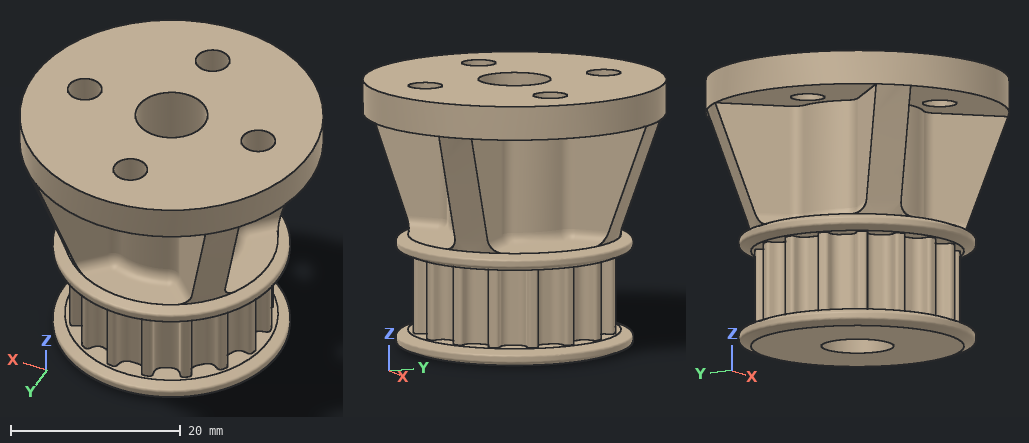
import cadquery as cq
import math

total_height = 31.95
disc_thickness = 4.0
flange_thickness = 2.0
belt_width = 9.4
upper_flange_z = flange_thickness + belt_width
neck_z = upper_flange_z + flange_thickness
disc_z = total_height - disc_thickness
neck_height = disc_z - neck_z

disc_radius = 35.73 / 2
bore_diameter = 8.5
hole_diameter = 4.0
hole_circle_radius = 11.3
hole_count = 4

flange_radius = 27.95 / 2
flange_bevel_width = 1.43
flange_bevel_height = 0.5
flange_edge_fillet = 0.4
flange_face_radius = flange_radius - flange_bevel_width

tooth_count = 16
tip_radius = 12.08
groove_floor_radius = 10.22
groove_floor_half_width = 0.45
groove_corner_radius = 1.07
flank_angle = math.radians(12)
tooth_tip_fillet = 0.43

core_radius = 7.85
rib_count = 4
rib_width = 4.18
neck_fillet = 1.6


def cylinder(radius, bottom_z, height):
    return cq.Workplane("XY").workplane(offset=bottom_z).circle(radius).extrude(height)


def polar_vector(radius, angle):
    return cq.Vector(radius * math.cos(angle), radius * math.sin(angle))


def belt_flange(bottom_z):
    """Flange whose rim is bevelled on both faces and rounded at the bevel corners."""
    top_z = bottom_z + flange_thickness
    rim_low_z = bottom_z + flange_bevel_height
    rim_high_z = top_z - flange_bevel_height
    flange = (
        cq.Workplane("XZ")
        .moveTo(0, bottom_z)
        .lineTo(flange_face_radius, bottom_z)
        .lineTo(flange_radius, rim_low_z)
        .lineTo(flange_radius, rim_high_z)
        .lineTo(flange_face_radius, top_z)
        .lineTo(0, top_z)
        .close()
        .revolve(360, (0, 0, 0), (0, 1, 0))
    )
    rim_corners = cq.selectors.RadiusNthSelector(-1)
    return flange.edges("%CIRCLE").edges(rim_corners).fillet(flange_edge_fillet)


def belt_groove():
    """Cutter for one groove on the +X side: flat floor, round corners, flared mouth."""
    flank = cq.Vector(math.cos(flank_angle), math.sin(flank_angle))
    into_tooth = cq.Vector(-math.sin(flank_angle), math.cos(flank_angle))
    floor_end = cq.Vector(groove_floor_radius, groove_floor_half_width)
    corner_center = floor_end + cq.Vector(groove_corner_radius, 0)
    corner_mid_angle = (math.pi + math.pi / 2 + flank_angle) / 2
    corner_mid = corner_center + polar_vector(groove_corner_radius, corner_mid_angle)
    flank_start = corner_center + into_tooth * groove_corner_radius

    offset_start = flank_start + into_tooth * tooth_tip_fillet
    along = offset_start.dot(flank)
    across = offset_start.dot(into_tooth)
    flank_length = math.sqrt((tip_radius - tooth_tip_fillet) ** 2 - across**2) - along
    flank_end = flank_start + flank * flank_length
    round_center = flank_end + into_tooth * tooth_tip_fillet
    tip_angle = math.atan2(round_center.y, round_center.x)
    round_mid_angle = (flank_angle - math.pi / 2 + tip_angle) / 2
    round_mid = round_center + polar_vector(tooth_tip_fillet, round_mid_angle)
    tip_point = polar_vector(tip_radius, tip_angle)
    mouth_end = tip_point + cq.Vector(tooth_tip_fillet, 0)

    half_groove = (
        cq.Workplane("XY")
        .workplane(offset=flange_thickness)
        .moveTo(groove_floor_radius, 0)
        .lineTo(floor_end.x, floor_end.y)
        .threePointArc(corner_mid.toTuple()[:2], flank_start.toTuple()[:2])
        .lineTo(flank_end.x, flank_end.y)
        .threePointArc(round_mid.toTuple()[:2], tip_point.toTuple()[:2])
        .lineTo(mouth_end.x, mouth_end.y)
        .lineTo(mouth_end.x, 0)
        .close()
        .extrude(belt_width)
    )
    return half_groove.union(half_groove.mirror("XZ")).clean()


def toothed_section():
    teeth = cylinder(tip_radius, flange_thickness, belt_width)
    groove = belt_groove()
    for index in range(tooth_count):
        teeth = teeth.cut(groove.rotate((0, 0, 0), (0, 0, 1), index * 360 / tooth_count))
    return teeth


def rib_pocket():
    """Cutter for the space between two ribs, rounded along the core, ribs and floor."""
    rib_side = rib_width / 2
    pocket_size = disc_radius + 2 * neck_fillet
    pocket = (
        cq.Workplane("XY")
        .workplane(offset=neck_z)
        .rect(pocket_size, pocket_size, centered=False)
        .extrude(neck_height)
        .translate((rib_side, rib_side, 0))
        .cut(cylinder(core_radius, neck_z, neck_height))
    )
    core_reach = math.sqrt(core_radius**2 - rib_side**2)
    margin = 0.35
    core_zone = cq.selectors.BoxSelector(
        (0, 0, neck_z),
        (core_reach + margin, core_reach + margin, disc_z),
    )
    pocket = pocket.edges("|Z").edges(core_zone).fillet(neck_fillet)
    return pocket.faces("<Z").edges().fillet(neck_fillet)


def ribbed_neck():
    """Cone frustum cut down to a round core and four ribs set diagonally to X and Y."""
    neck = (
        cq.Workplane("XZ")
        .moveTo(0, neck_z)
        .lineTo(flange_face_radius, neck_z)
        .lineTo(disc_radius, disc_z)
        .lineTo(0, disc_z)
        .close()
        .revolve(360, (0, 0, 0), (0, 1, 0))
    )
    rib_angle = 180 / rib_count
    pocket = rib_pocket().rotate((0, 0, 0), (0, 0, 1), rib_angle)
    for index in range(rib_count):
        neck = neck.cut(pocket.rotate((0, 0, 0), (0, 0, 1), index * 360 / rib_count))
    return neck


def mounting_disc():
    """Top disc with its mounting holes placed between the ribs."""
    return (
        cylinder(disc_radius, disc_z, disc_thickness)
        .faces(">Z")
        .workplane()
        .polarArray(hole_circle_radius, 0, 360, hole_count)
        .hole(hole_diameter)
    )


result = (
    belt_flange(0)
    .union(toothed_section())
    .union(belt_flange(upper_flange_z))
    .union(ribbed_neck())
    .union(mounting_disc())
    .cut(cylinder(bore_diameter / 2, 0, total_height))
)